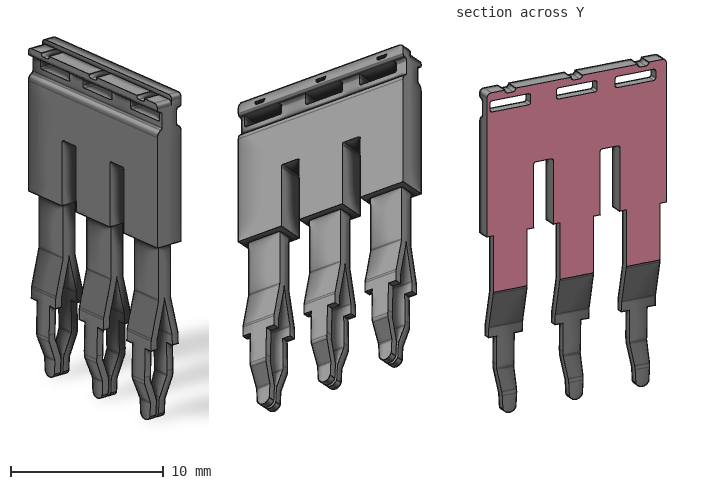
import cadquery as cq
import math


BLOCK_WIDTH = 13.386
BLOCK_THICKNESS = 2.0
BLOCK_BOTTOM_Z = -10.4
PITCH = 4.95

RIDGE_THICKNESS = 0.8
STEP_Z = -0.325
TOP_CORNER_RADIUS = 0.32

NECK_THICKNESS = 1.25
FLANGE_BOTTOM_Z = -0.925
FLANGE_RADIUS = 0.185
SHOULDER_TOP_Z = -2.16
SHOULDER_RADIUS = 0.5
SHOULDER_FILLET = 0.17

WINDOW_WIDTH = 3.0
WINDOW_BOTTOM_Z = -1.68
WINDOW_RADIUS = 0.15
FIRST_WINDOW_SHIFT = 0.58

GROOVE_WIDTH = 0.8
GROOVE_DEPTH = 0.23
GROOVE_RADIUS = 0.2

SLOT_WIDTH = 1.45
SLOT_TOP_Z = -5.8
SLOT_RADIUS = 0.15

PRONG_WIDTH = 2.52
PRONG_SHOULDER_Z = -17.75
BLADE_WIDTH = 1.31
TAPER_START_Z = -19.75
TIP_WIDTH = 0.97
TIP_ARC_START_Z = -22.7
TIP_Z = -23.03

LEAF_THICKNESS = 0.5
LEAF_BEND_RADIUS = 0.5
FORK_Z = -14.37
SPREAD_Y = 0.88
SPREAD_Z = -17.0
BULGE_Y = 0.955
BULGE_Z = -20.09
PINCH_Y = 0.36
PINCH_Z = -21.66

PRONG_CENTERS = [-PITCH, 0, PITCH]
WINDOW_CENTERS = [-PITCH + FIRST_WINDOW_SHIFT, 0, PITCH]
SLOT_CENTERS = [-PITCH / 2, PITCH / 2]


def toward(start, end, distance):
    """Point at the given distance from start on the way to end."""
    length = math.dist(start, end)
    return tuple(s + (e - s) * distance / length for s, e in zip(start, end))


def rounded_outline(plane, corners):
    """Closed outline through (u, v, radius) corners, each rounded by its radius."""
    outline = None
    for index, (u, v, radius) in enumerate(corners):
        corner = (u, v)
        before = corners[index - 1][:2]
        after = corners[(index + 1) % len(corners)][:2]
        arc = [corner]
        if radius:
            span = math.dist(toward(corner, before, 1), toward(corner, after, 1))
            half_angle = math.asin(span / 2)
            start = toward(corner, before, radius / math.tan(half_angle))
            end = toward(corner, after, radius / math.tan(half_angle))
            chord_middle = ((start[0] + end[0]) / 2, (start[1] + end[1]) / 2)
            middle = toward(corner, chord_middle, radius / math.sin(half_angle) - radius)
            arc = [start, middle, end]
        if outline is None:
            outline = cq.Workplane(plane).moveTo(*arc[0])
        else:
            outline = outline.lineTo(*arc[0])
        if radius:
            outline = outline.threePointArc(arc[1], arc[2])
    return outline.close()


def box(x_range, y_range, z_range):
    """Box between the given limits."""
    sizes = [high - low for low, high in (x_range, y_range, z_range)]
    corner = (x_range[0], y_range[0], z_range[0])
    return cq.Workplane("XY").box(*sizes, centered=False).translate(corner)


def block_section():
    """Cross-section of the block in YZ, extruded over its width."""
    half = BLOCK_THICKNESS / 2
    half_neck = NECK_THICKNESS / 2
    arc_center_y = half - SHOULDER_RADIUS
    arc_center_z = SHOULDER_TOP_Z - SHOULDER_RADIUS
    shoulder_start_z = arc_center_z + math.sqrt(SHOULDER_RADIUS**2 - (half_neck - arc_center_y) ** 2)
    arc_middle_y = arc_center_y + SHOULDER_RADIUS * math.cos(math.pi / 4)
    arc_middle_z = arc_center_z + SHOULDER_RADIUS * math.sin(math.pi / 4)
    head = rounded_outline(
        "YZ",
        [
            (half, 0, 0),
            (half, FLANGE_BOTTOM_Z, FLANGE_RADIUS),
            (half_neck, FLANGE_BOTTOM_Z, FLANGE_RADIUS),
            (half_neck, arc_center_z, 0),
            (-half_neck, arc_center_z, 0),
            (-half_neck, FLANGE_BOTTOM_Z, FLANGE_RADIUS),
            (-half, FLANGE_BOTTOM_Z, FLANGE_RADIUS),
            (-half, 0, 0),
        ],
    ).extrude(BLOCK_WIDTH / 2, both=True)
    body = (
        cq.Workplane("YZ")
        .moveTo(half_neck, shoulder_start_z)
        .threePointArc((arc_middle_y, arc_middle_z), (half, arc_center_z))
        .lineTo(half, BLOCK_BOTTOM_Z)
        .lineTo(-half, BLOCK_BOTTOM_Z)
        .lineTo(-half, arc_center_z)
        .threePointArc((-arc_middle_y, arc_middle_z), (-half_neck, shoulder_start_z))
        .close()
        .extrude(BLOCK_WIDTH / 2, both=True)
    )
    margin = 0.01
    foot_of_neck = cq.selectors.BoxSelector(
        (-BLOCK_WIDTH, -half_neck - margin, shoulder_start_z - margin),
        (BLOCK_WIDTH, half_neck + margin, shoulder_start_z + margin),
    )
    return head.union(body).edges("|X").edges(foot_of_neck).fillet(SHOULDER_FILLET)


def top_envelope(y_range, top_z):
    """Full-height slab whose upper X corners are rounded."""
    half = BLOCK_WIDTH / 2
    slab = box((-half, half), y_range, (BLOCK_BOTTOM_Z, top_z))
    return slab.edges("|Y").edges(">Z").fillet(TOP_CORNER_RADIUS)


def groove(x):
    """Round-bottomed coding groove at the given X, running through the whole thickness."""
    x_range = (x - GROOVE_WIDTH / 2, x + GROOVE_WIDTH / 2)
    y_range = (-BLOCK_THICKNESS, BLOCK_THICKNESS)
    cutter = box(x_range, y_range, (STEP_Z - GROOVE_DEPTH, STEP_Z))
    return cutter.edges("|Y").edges("<Z").fillet(GROOVE_RADIUS)


def window(x):
    """Window through the neck, centred on the given X, right below the flange."""
    x_range = (x - WINDOW_WIDTH / 2, x + WINDOW_WIDTH / 2)
    y_range = (-BLOCK_THICKNESS, BLOCK_THICKNESS)
    return box(x_range, y_range, (WINDOW_BOTTOM_Z, FLANGE_BOTTOM_Z)).edges("|Y").fillet(WINDOW_RADIUS)


def slot(x):
    """Slot between two legs, open at the bottom of the block."""
    x_range = (x - SLOT_WIDTH / 2, x + SLOT_WIDTH / 2)
    y_range = (-BLOCK_THICKNESS, BLOCK_THICKNESS)
    return box(x_range, y_range, (BLOCK_BOTTOM_Z, SLOT_TOP_Z)).edges("|Y").edges(">Z").fillet(SLOT_RADIUS)


def block():
    """Complete plastic block."""
    half = BLOCK_THICKNESS / 2
    ridge_front_y = half - RIDGE_THICKNESS
    envelope = top_envelope((ridge_front_y, half), 0).union(top_envelope((-half, ridge_front_y), STEP_Z))
    body = block_section().intersect(envelope)
    for x in PRONG_CENTERS:
        body = body.cut(groove(x))
    for x in WINDOW_CENTERS:
        body = body.cut(window(x))
    for x in SLOT_CENTERS:
        body = body.cut(slot(x))
    return body


def leaf_side(path, offset):
    """Corners of one side of a bent leaf, at the given offset in +Y from its middle path."""
    angles = [math.atan2(y2 - y1, z1 - z2) for (y1, z1), (y2, z2) in zip(path, path[1:])]
    corners = []
    for (y, z), above, below in zip(path, angles[:1] + angles, angles + angles[-1:]):
        mean = (above + below) / 2
        miter = offset / math.cos((above - below) / 2)
        outward_turn = (above - below) * offset
        radius = LEAF_BEND_RADIUS + math.copysign(LEAF_THICKNESS / 2, outward_turn)
        is_end = above == below
        corners.append((y + miter * math.cos(mean), z + miter * math.sin(mean), 0 if is_end else radius))
    return corners


def leaf():
    """Bent leaf on the +Y side, as wide as the prong."""
    path = [
        (LEAF_THICKNESS / 2, BLOCK_BOTTOM_Z),
        (LEAF_THICKNESS / 2, FORK_Z),
        (SPREAD_Y, SPREAD_Z),
        (BULGE_Y, BULGE_Z),
        (PINCH_Y, PINCH_Z),
        (PINCH_Y, TIP_Z),
    ]
    outer = leaf_side(path, LEAF_THICKNESS / 2)
    inner = leaf_side(path, -LEAF_THICKNESS / 2)
    return rounded_outline("YZ", outer + inner[::-1]).extrude(PRONG_WIDTH / 2, both=True)


def prong():
    """Forked prong centred on X = 0: two leaves trimmed to the stepped, tapered outline."""
    outline = (
        cq.Workplane("XZ")
        .moveTo(-PRONG_WIDTH / 2, BLOCK_BOTTOM_Z)
        .lineTo(-PRONG_WIDTH / 2, PRONG_SHOULDER_Z)
        .lineTo(-BLADE_WIDTH / 2, PRONG_SHOULDER_Z)
        .lineTo(-BLADE_WIDTH / 2, TAPER_START_Z)
        .lineTo(-TIP_WIDTH / 2, TIP_ARC_START_Z)
        .threePointArc((0, TIP_Z), (TIP_WIDTH / 2, TIP_ARC_START_Z))
        .lineTo(BLADE_WIDTH / 2, TAPER_START_Z)
        .lineTo(BLADE_WIDTH / 2, PRONG_SHOULDER_Z)
        .lineTo(PRONG_WIDTH / 2, PRONG_SHOULDER_Z)
        .lineTo(PRONG_WIDTH / 2, BLOCK_BOTTOM_Z)
        .close()
        .extrude(BLOCK_THICKNESS, both=True)
    )
    back_leaf = leaf()
    leaves = back_leaf.union(back_leaf.mirror("XZ"))
    return leaves.intersect(outline)


result = block()
for prong_x in PRONG_CENTERS:
    result = result.union(prong().translate((prong_x, 0, 0)))
result = result.clean()